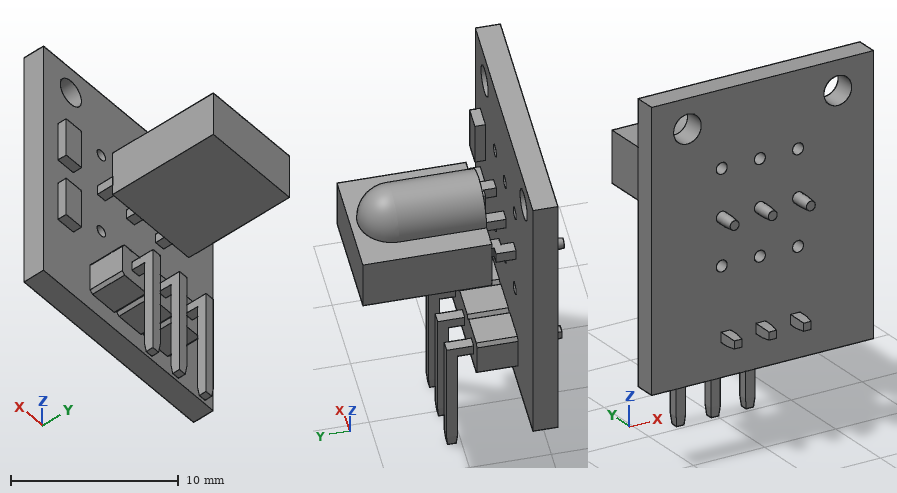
import cadquery as cq


board_width = 15.6
board_height = 18.79
board_thickness = 1.53
overall_height = 23.93

mount_hole_diameter = 1.95
mount_hole_spacing = 10.58
mount_hole_top_margin = 2.0
mount_hole_z = board_height - mount_hole_top_margin

lead_center_x = -0.2
lead_pitch = 2.68
lead_hole_diameter = 0.77
lead_row_z = 10.45
lead_row_spacing = 3.18

receiver_width = 7.0
receiver_front_y = 3.1
receiver_back_y = 10.98
receiver_bottom_z = 8.7
receiver_top_z = 12.18
lens_diameter = 4.2
lens_dome_y = 8.42

lead_size = 0.72
lead_body_pitch = 2.18
lead_jog_y = 2.3
lead_jog_thickness = 0.45
lead_straight_end_y = -0.75
lead_tip_y = -1.44
lead_tip_diameter = 0.62

header_center_x = -0.15
header_pitch = 2.45
header_z = 2.63
header_height = 2.51
header_depth = 2.51
header_chamfer = 0.22
pin_size = 0.67
pin_tip_size = 0.53
pin_tip_length = 0.7
pin_straight_end_y = -0.67
pin_leg_back_y = 5.7
pin_bottom_z = board_height - overall_height

chip_width = 1.4
chip_thickness = 0.65
chip_height = 3.05
chip_center_x = 5.77
chip_bottoms_z = (5.26, 10.25)

column_offsets = (-1, 0, 1)


def block(x_range, y_range, z_range):
    """Rectangular block given by its limits along each axis."""
    x_min, x_max = x_range
    y_min, y_max = y_range
    z_min, z_max = z_range
    size = (x_max - x_min, y_max - y_min, z_max - z_min)
    return cq.Workplane("XY").box(*size, centered=False).translate((x_min, y_min, z_min))


def around(center, size):
    """Limits of a length centred on a position."""
    return (center - size / 2, center + size / 2)


def plane_at_y(x, y, z):
    """Workplane with its normal toward -Y and its origin at the given point."""
    return cq.Workplane("XZ", origin=(x, y, z))


def make_board():
    board = block(around(0, board_width), (0, board_thickness), (0, board_height))
    mount_holes = (
        plane_at_y(0, board_thickness, mount_hole_z)
        .rarray(mount_hole_spacing, 0.25, 2, 1)
        .circle(mount_hole_diameter / 2)
        .extrude(board_thickness)
    )
    lead_holes = (
        plane_at_y(lead_center_x, board_thickness, lead_row_z)
        .rarray(lead_pitch, lead_row_spacing, 3, 3)
        .circle(lead_hole_diameter / 2)
        .extrude(board_thickness)
    )
    return board.cut(mount_holes).cut(lead_holes)


def make_receiver():
    body = block(
        around(lead_center_x, receiver_width),
        (receiver_front_y, receiver_back_y),
        (receiver_bottom_z, receiver_top_z),
    )
    barrel = (
        plane_at_y(lead_center_x, lens_dome_y, receiver_top_z)
        .circle(lens_diameter / 2)
        .extrude(lens_dome_y - receiver_front_y)
    )
    dome = cq.Workplane("XY").sphere(lens_diameter / 2)
    dome = dome.translate((lead_center_x, lens_dome_y, receiver_top_z))
    return body.union(barrel).union(dome)


def make_lead(column):
    """One receiver lead: it jogs outward from the body pitch to the hole pitch."""
    body_x = lead_center_x + column * lead_body_pitch
    hole_x = lead_center_x + column * lead_pitch
    jog_end_y = lead_jog_y + lead_jog_thickness
    z_range = around(lead_row_z, lead_size)
    jog_x = (min(body_x, hole_x) - lead_size / 2, max(body_x, hole_x) + lead_size / 2)

    upper = block(around(body_x, lead_size), (lead_jog_y, receiver_front_y), z_range)
    jog = block(jog_x, (lead_jog_y, jog_end_y), z_range)
    lower = block(around(hole_x, lead_size), (board_thickness, jog_end_y), z_range)
    shank = (
        plane_at_y(hole_x, board_thickness, lead_row_z)
        .circle(lead_hole_diameter / 2)
        .extrude(board_thickness - lead_straight_end_y)
    )
    tip = (
        plane_at_y(hole_x, lead_straight_end_y, lead_row_z)
        .circle(lead_hole_diameter / 2)
        .workplane(offset=lead_straight_end_y - lead_tip_y)
        .circle(lead_tip_diameter / 2)
        .loft()
    )
    return upper.union(jog).union(lower).union(shank).union(tip)


def tapered_tip(base):
    """Square pin end that narrows along the normal of the base workplane."""
    return (
        base.rect(pin_size, pin_size)
        .workplane(offset=pin_tip_length)
        .rect(pin_tip_size, pin_tip_size)
        .loft()
    )


def make_header_cell(column):
    """One chamfered housing cell with its bent pin."""
    x = header_center_x + column * header_pitch
    housing_end_y = board_thickness + header_depth
    leg_center_y = pin_leg_back_y - pin_size / 2
    leg_end_z = pin_bottom_z + pin_tip_length
    pin_top_z = header_z + pin_size / 2
    pin_x = around(x, pin_size)

    housing = block(
        around(x, header_pitch),
        (board_thickness, housing_end_y),
        around(header_z, header_height),
    )
    housing = housing.edges("|Y").chamfer(header_chamfer)
    arm = block(pin_x, (pin_straight_end_y, pin_leg_back_y), around(header_z, pin_size))
    leg = block(pin_x, around(leg_center_y, pin_size), (leg_end_z, pin_top_z))
    solder_tip = tapered_tip(plane_at_y(x, pin_straight_end_y, header_z))
    leg_end_plane = cq.Plane(origin=(x, leg_center_y, leg_end_z), normal=(0, 0, -1))
    leg_tip = tapered_tip(cq.Workplane(leg_end_plane))
    return housing.union(arm).union(leg).union(solder_tip).union(leg_tip)


def make_chip(bottom_z):
    return block(
        around(chip_center_x, chip_width),
        (board_thickness, board_thickness + chip_thickness),
        (bottom_z, bottom_z + chip_height),
    )


result = make_board().union(make_receiver())
for column in column_offsets:
    result = result.union(make_lead(column))
    result = result.union(make_header_cell(column))
for chip_bottom_z in chip_bottoms_z:
    result = result.union(make_chip(chip_bottom_z))